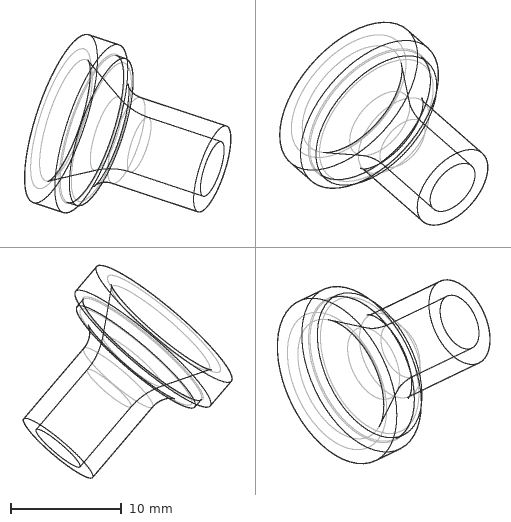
import cadquery as cq
import math

total_length = 15.0
flange_radius = 8.0
flange_width = 3.0
step_radius = 7.0
step_end = 4.0
step_root_fillet = 0.1
tube_radius = 4.1
neck_fillet = 2.5

bore_radius = 2.6
mouth_radius = 6.64
mouth_rounding = 1.0
throat_rounding = 6.56
cone_angle = math.radians(30)


def make_body():
    """Flange, locating step and tube, with a concave neck between step and tube."""
    neck_end = step_end + neck_fillet
    neck_offset = neck_fillet * math.sqrt(0.5)
    neck_middle = (neck_end - neck_offset, tube_radius + neck_fillet - neck_offset)
    root_offset = step_root_fillet * (1 - math.sqrt(0.5))
    root_middle = (flange_width + root_offset, step_radius + root_offset)
    return (
        cq.Workplane("XY")
        .lineTo(0, flange_radius)
        .lineTo(flange_width, flange_radius)
        .lineTo(flange_width, step_radius + step_root_fillet)
        .threePointArc(root_middle, (flange_width + step_root_fillet, step_radius))
        .lineTo(step_end, step_radius)
        .lineTo(step_end, tube_radius + neck_fillet)
        .threePointArc(neck_middle, (neck_end, tube_radius))
        .lineTo(total_length, tube_radius)
        .lineTo(total_length, 0)
        .close()
        .revolve(360, (0, 0, 0), (1, 0, 0))
    )


def make_funnel():
    """Material removed by the funnel and the through bore."""
    def mouth_point(turn):
        """Point on the mouth rounding after turning by this angle from the face."""
        return (
            mouth_rounding * (1 - math.cos(turn)),
            mouth_radius - mouth_rounding * math.sin(turn),
        )

    mouth_turn = math.pi / 2 - cone_angle
    cone_start = mouth_point(mouth_turn)
    cone_end_radius = bore_radius + throat_rounding * (1 - math.cos(cone_angle))
    cone_end = cone_start[0] + (cone_start[1] - cone_end_radius) / math.tan(cone_angle)
    throat_end = cone_end + throat_rounding * math.sin(cone_angle)
    half_angle = cone_angle / 2
    throat_middle = (
        throat_end - throat_rounding * math.sin(half_angle),
        bore_radius + throat_rounding * (1 - math.cos(half_angle)),
    )
    return (
        cq.Workplane("XY")
        .lineTo(0, mouth_radius)
        .threePointArc(mouth_point(mouth_turn / 2), cone_start)
        .lineTo(cone_end, cone_end_radius)
        .threePointArc(throat_middle, (throat_end, bore_radius))
        .lineTo(total_length, bore_radius)
        .lineTo(total_length, 0)
        .close()
        .revolve(360, (0, 0, 0), (1, 0, 0))
    )


result = make_body().cut(make_funnel())